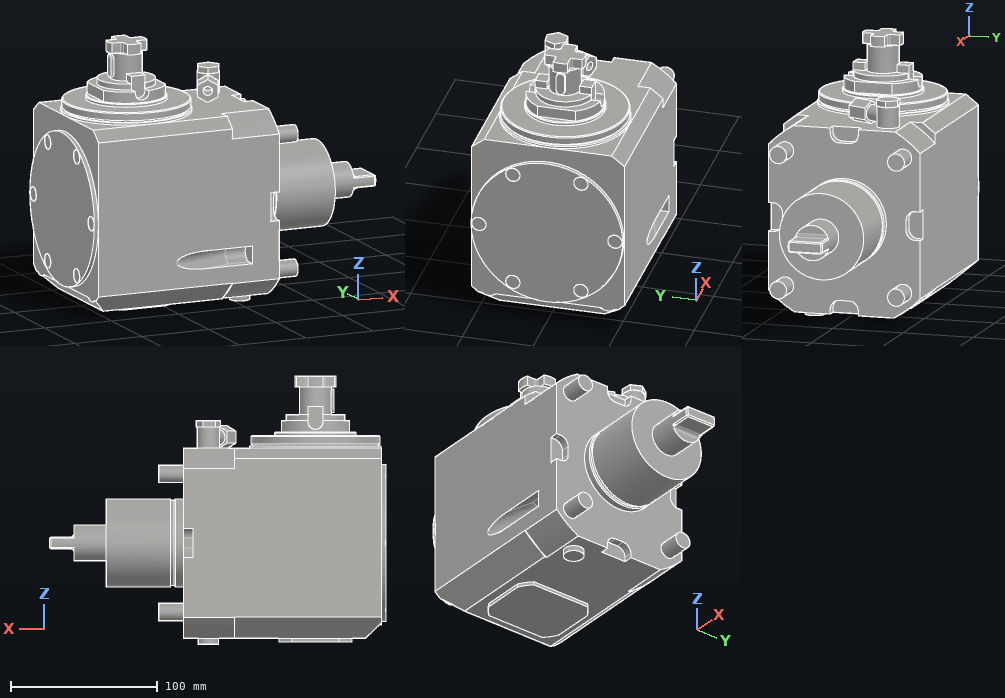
import cadquery as cq
import math


housing_length = 135.0
housing_width = 108.0
half_width = housing_width / 2
housing_top = 64.5
housing_bottom = -65.0
top_chamfer_y = 9.0
top_chamfer_z = 7.0
bottom_chamfer_y = 17.0
bottom_chamfer_z = 14.7
end_chamfer_x = 11.0
end_chamfer_z = 10.8
bolt_boss_diameter = 18.0
flange_length = 35.0
flange_radius = 74.0

keyway_width = 20.0
keyway_depth_x = 6.5
keyway_depth = 10.0
keyway_corner_radius = 6.6

relief_diameter = 12.4
relief_z = -32.0
relief_end_x = -20.0
relief_bend_x = -35.0
relief_tip_x = -76.5

cover_diameter = 107.0
cover_thickness = 3.0
screw_count = 6
screw_diameter = 10.0
screw_circle_radius = 48.0
screw_recess = 0.2

shank_diameter = 60.0
shank_length = 52.5
shank_groove_start = 5.3
shank_groove_end = 8.8
shank_groove_depth = 0.9
shaft_diameter = 24.5
shaft_end_x = 74.5
tang_end_x = 91.05
tang_thickness = 8.0
tang_root_radius = 2.2
tang_edge_chamfer = 1.0
tang_end_chamfer_x = 1.2
tang_end_chamfer_r = 0.8

bolt_diameter = 12.0
bolt_length = 16.7
bolt_y = 42.0
bolt_z = 47.0

spindle_x = -90.0
seat_diameter = 89.5
seat_top = 66.0
disc_diameter = 88.0
disc_top = 73.0
disc_chamfer = 0.7
disc_lower_chamfer = 1.4
collar_diameter = 55.5
collar_top = 75.5
collar_chamfer = 0.6
nut_diameter = 53.5
nut_top = 83.3
nut_flats = 46.4
ring_diameter = 40.0
ring_top = 87.3
spindle_diameter = 22.0
cross_bottom = 106.2
cross_top = 113.5
cross_diameter = 28.0
cross_arm_width = 10.0
cross_corner_radius = 1.5

dog_width = 10.0
dog_bottom = 77.3
dog_top = 92.8
dog_inner = 11.5
key_width = 6.0
key_bottom = 88.7
key_top = 104.8
key_outer_radius = 12.7

fitting_x = -17.1
fitting_y = 26.0
post_diameter = 15.4
post_top = 79.0
cap_corner_diameter = 16.7
cap_top = 83.3
elbow_z = 72.0
elbow_angle = 245.0
elbow_diameter = 11.0
elbow_nut_start = 15.0
elbow_nut_end = 29.5
elbow_nut_flats = 14.0
elbow_bore_diameter = 6.2
elbow_bore_depth = 14.0

plate_x = 50.0
plate_y = 60.0
plate_corner_radius = 34.0
plate_bottom = -67.5
plug_diameter = 14.0
plug_bottom = -69.0

hexagon_sides = 6

overlap = 1.0


def rod_x(diameter, x_start, x_end, y=0.0, z=0.0):
    return (
        cq.Workplane("YZ", origin=(x_start, y, z))
        .circle(diameter / 2)
        .extrude(x_end - x_start)
    )


def rod_z(diameter, z_start, z_end, x=spindle_x, y=0.0):
    return (
        cq.Workplane("XY", origin=(x, y, z_start))
        .circle(diameter / 2)
        .extrude(z_end - z_start)
    )


def box(x_range, y_range, z_range):
    corner = (x_range[0], y_range[0], z_range[0])
    size = (x_range[1] - x_range[0], y_range[1] - y_range[0], z_range[1] - z_range[0])
    return cq.Workplane("XY").box(*size, centered=False).translate(corner)


def make_housing():
    half_section = [
        (half_width - bottom_chamfer_y, housing_bottom),
        (half_width, housing_bottom + bottom_chamfer_z),
        (half_width, housing_top - top_chamfer_z),
        (half_width - top_chamfer_y, housing_top),
    ]
    mirrored = [(-y, z) for y, z in reversed(half_section)]
    body = (
        cq.Workplane("YZ", origin=(-housing_length, 0, 0))
        .polyline(half_section + mirrored)
        .close()
        .extrude(housing_length - flange_length)
    )
    end_wedge = (
        cq.Workplane("XZ")
        .polyline([
            (-housing_length, housing_bottom),
            (-housing_length + end_chamfer_x, housing_bottom),
            (-housing_length, housing_bottom + end_chamfer_z),
        ])
        .close()
        .extrude(half_width, both=True)
    )
    flange = box(
        (-flange_length, 0), (-half_width, half_width), (housing_bottom, housing_top)
    ).intersect(rod_x(2 * flange_radius, -flange_length, 0))
    body = body.cut(end_wedge)
    for y in (-bolt_y, bolt_y):
        boss = rod_x(bolt_boss_diameter, -housing_length, -housing_length + end_chamfer_x, y, -bolt_z)
        body = body.union(boss)
    return body.union(flange)


def make_keyways():
    """Four radial keyways, open to the flange face and to the sides of the housing."""
    def keyway(wall_distance):
        return (
            box(
                (-keyway_depth_x, overlap),
                (-keyway_width / 2, keyway_width / 2),
                (wall_distance - keyway_depth, wall_distance + keyway_depth),
            )
            .edges("|X and <Z")
            .fillet(keyway_corner_radius)
        )

    keyways = cq.Workplane("XY")
    for turn, wall_distance in enumerate((housing_top, half_width, -housing_bottom, half_width)):
        quarter = keyway(wall_distance).rotate((0, 0, 0), (1, 0, 0), 90 * turn)
        keyways = keyways.add(quarter)
    return keyways.combine()


def make_relief():
    """Round-floored slot whose floor climbs from full depth at the bend to the wall at the tip."""
    radius = relief_diameter / 2
    floor_y = -half_width + relief_diameter
    axis_y = floor_y - radius
    open_y = -half_width - overlap
    profile = (
        cq.Workplane("YZ", origin=(relief_bend_x, 0, relief_z))
        .moveTo(open_y, radius)
        .lineTo(axis_y, radius)
        .threePointArc((floor_y, 0), (axis_y, -radius))
        .lineTo(open_y, -radius)
        .close()
    )
    straight = profile.extrude(relief_end_x - relief_bend_x)
    rise = relief_diameter + overlap
    run = (relief_bend_x - relief_tip_x) * rise / relief_diameter
    climb = cq.Vector(-run, -rise, 0)
    ramp = cq.Solid.extrudeLinear(profile.wires().val(), [], climb)
    return straight.union(cq.Workplane("XY").add(ramp))


def make_cover():
    cover = rod_x(cover_diameter, -housing_length - cover_thickness, -housing_length + overlap)
    for index in range(screw_count):
        angle = math.radians(360 / screw_count * index)
        head = rod_x(
            screw_diameter,
            -housing_length - cover_thickness,
            -housing_length - cover_thickness + screw_recess,
            screw_circle_radius * math.cos(angle),
            screw_circle_radius * math.sin(angle),
        )
        cover = cover.cut(head)
    return cover


def make_shank():
    radius = shank_diameter / 2
    groove_radius = radius - shank_groove_depth
    return (
        cq.Workplane("XY")
        .polyline([
            (-overlap, 0),
            (-overlap, radius),
            (shank_groove_start, radius),
            (shank_groove_start + shank_groove_depth, groove_radius),
            (shank_groove_end, groove_radius),
            (shank_groove_end, radius),
            (shank_length, radius),
            (shank_length, 0),
        ])
        .close()
        .revolve(360, (0, 0, 0), (1, 0, 0))
    )


def make_shaft():
    """Shaft with a flat driving tang, rounded at its root and bevelled along its edges."""
    radius = shaft_diameter / 2
    half_tang = tang_thickness / 2
    shaft = (
        cq.Workplane("XY")
        .polyline([
            (shank_length - overlap, 0),
            (shank_length - overlap, radius),
            (tang_end_x - tang_end_chamfer_x, radius),
            (tang_end_x, radius - tang_end_chamfer_r),
            (tang_end_x, 0),
        ])
        .close()
        .revolve(360, (0, 0, 0), (1, 0, 0))
    )
    flat_edge_y = math.sqrt(radius**2 - half_tang**2)
    for side in (1, -1):
        flat = (
            box(
                (shaft_end_x, tang_end_x + overlap),
                (-radius - overlap, radius + overlap),
                (half_tang, radius + overlap),
            )
            .edges("<X and <Z")
            .fillet(tang_root_radius)
        )
        end_bevel = (
            cq.Workplane("XZ")
            .polyline([
                (tang_end_x - tang_end_chamfer_x, half_tang),
                (tang_end_x, half_tang - tang_end_chamfer_r),
                (tang_end_x, half_tang),
            ])
            .close()
            .extrude(radius, both=True)
        )
        flat = flat.union(end_bevel)
        for edge_side in (1, -1):
            bevel = (
                cq.Workplane("YZ", origin=(shaft_end_x, 0, 0))
                .polyline([
                    (edge_side * (flat_edge_y - tang_edge_chamfer), half_tang),
                    (edge_side * (radius + overlap), half_tang),
                    (edge_side * radius, half_tang - tang_edge_chamfer),
                ])
                .close()
                .extrude(tang_end_x - shaft_end_x)
            )
            flat = flat.union(bevel)
        if side < 0:
            flat = flat.mirror("XY")
        shaft = shaft.cut(flat)
    return shaft


def make_bolts():
    bolts = cq.Workplane("XY")
    for y in (-bolt_y, bolt_y):
        for z in (-bolt_z, bolt_z):
            bolts = bolts.add(rod_x(bolt_diameter, -overlap, bolt_length, y, z))
    return bolts


def make_spindle_stack():
    """Turned bearing disc, collar, flatted nut and spindle, from the housing upwards."""
    seat = rod_z(seat_diameter, housing_top - overlap, seat_top)
    disc = rod_z(disc_diameter, seat_top, disc_top)
    disc = disc.faces(">Z").chamfer(disc_chamfer).faces("<Z").chamfer(disc_lower_chamfer)
    collar = rod_z(collar_diameter, disc_top, collar_top).faces(">Z").chamfer(collar_chamfer)
    flats = box(
        (spindle_x - nut_flats / 2, spindle_x + nut_flats / 2),
        (-nut_diameter, nut_diameter),
        (collar_top, nut_top),
    )
    nut = rod_z(nut_diameter, collar_top, nut_top).intersect(flats)
    ring = rod_z(ring_diameter, nut_top, ring_top)
    spindle = rod_z(spindle_diameter, ring_top, cross_bottom)
    stack = seat
    for piece in (disc, collar, nut, ring, spindle):
        stack = stack.union(piece)
    return stack


def make_cross():
    cross_height = cross_top - cross_bottom
    base = cq.Workplane("XY", origin=(spindle_x, 0, cross_bottom))
    arm = base.rect(cross_diameter, cross_arm_width).extrude(cross_height)
    other_arm = base.rect(cross_arm_width, cross_diameter).extrude(cross_height)
    inner_corners = cq.selectors.BoxSelector(
        (spindle_x - cross_arm_width, -cross_arm_width, cross_bottom),
        (spindle_x + cross_arm_width, cross_arm_width, cross_top),
    )
    cross = arm.union(other_arm).edges("|Z").edges(inner_corners).fillet(cross_corner_radius)
    return cross.intersect(rod_z(cross_diameter, cross_bottom, cross_top))


def round_bottomed_bar(width, y_start, y_end, z_bottom, z_top):
    """Bar along Y on the spindle, flat on top with a half-round underside."""
    radius = width / 2
    return (
        cq.Workplane("XZ", origin=(spindle_x, y_start, 0))
        .moveTo(-radius, z_top)
        .lineTo(-radius, z_bottom + radius)
        .threePointArc((0, z_bottom), (radius, z_bottom + radius))
        .lineTo(radius, z_top)
        .close()
        .extrude(y_start - y_end)
    )


def add_drive_dogs(stack):
    ring_radius = ring_diameter / 2
    reach = nut_diameter / 2 + overlap
    for side in (1, -1):
        notch = round_bottomed_bar(dog_width, side * dog_inner, side * reach, dog_bottom, dog_top)
        dog = round_bottomed_bar(dog_width, side * dog_inner, side * ring_radius, dog_bottom, dog_top)
        stack = stack.cut(notch.intersect(rod_z(2 * reach, dog_bottom, nut_top))).union(dog)
    return stack


def make_key():
    return (
        cq.Workplane("YZ", origin=(spindle_x - key_outer_radius, 0, (key_bottom + key_top) / 2))
        .slot2D(key_top - key_bottom, key_width, 90)
        .extrude(key_outer_radius)
    )


def make_fitting():
    """Hexagon-capped post with an elbow that carries a bored hexagon nut."""
    def along_elbow(distance):
        angle = math.radians(elbow_angle)
        return cq.Plane(
            origin=(
                fitting_x + distance * math.cos(angle),
                fitting_y + distance * math.sin(angle),
                elbow_z,
            ),
            xDir=(0, 0, 1),
            normal=(math.cos(angle), math.sin(angle), 0),
        )

    nut_corner_diameter = elbow_nut_flats / math.cos(math.pi / hexagon_sides)
    post = rod_z(post_diameter, housing_top - overlap, post_top, fitting_x, fitting_y)
    cap = (
        cq.Workplane("XY")
        .polygon(hexagon_sides, cap_corner_diameter)
        .extrude(cap_top - post_top)
        .rotate((0, 0, 0), (0, 0, 1), elbow_angle)
        .translate((fitting_x, fitting_y, post_top))
    )
    elbow = cq.Workplane(along_elbow(0)).circle(elbow_diameter / 2).extrude(elbow_nut_start)
    nut = (
        cq.Workplane(along_elbow(elbow_nut_start))
        .polygon(hexagon_sides, nut_corner_diameter)
        .extrude(elbow_nut_end - elbow_nut_start)
    )
    bore = (
        cq.Workplane(along_elbow(elbow_nut_end - elbow_bore_depth))
        .circle(elbow_bore_diameter / 2)
        .extrude(elbow_bore_depth)
    )
    return post.union(cap).union(elbow).union(nut).cut(bore)


def make_underside():
    plate = box(
        (spindle_x - plate_x / 2, spindle_x + plate_x / 2),
        (-plate_y / 2, plate_y / 2),
        (plate_bottom, housing_bottom + overlap),
    ).intersect(rod_z(2 * plate_corner_radius, plate_bottom, housing_bottom + overlap))
    plug = rod_z(plug_diameter, plug_bottom, housing_bottom + overlap, fitting_x, -fitting_y)
    return plate.union(plug)


housing = make_housing().cut(make_keyways()).cut(make_relief())
spindle = add_drive_dogs(make_spindle_stack()).union(make_cross()).union(make_key())

result = housing
for component in (
    make_cover(),
    make_shank(),
    make_shaft(),
    *make_bolts().vals(),
    spindle,
    make_fitting(),
    make_underside(),
):
    result = result.union(component)